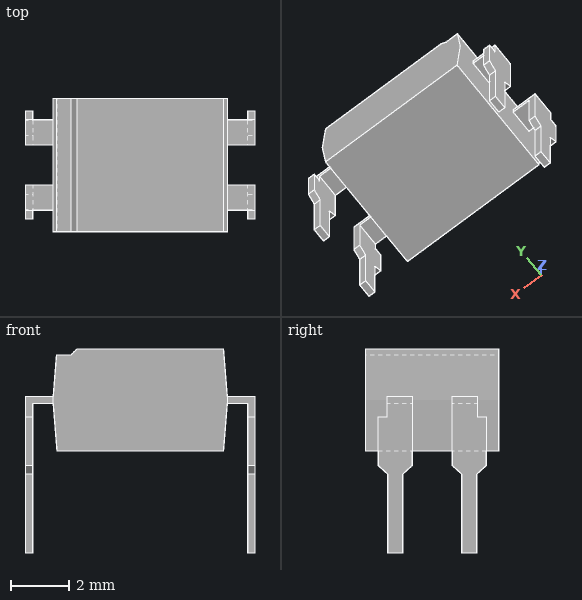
import cadquery as cq

SPAN_X = 7.88
HEIGHT = 7.01

BODY_LENGTH = 6.0
BODY_FACE_LENGTH = 5.72
BODY_WIDTH = 4.58
BODY_HEIGHT = 3.51
BODY_TOP = BODY_HEIGHT
PARTING_Z = BODY_HEIGHT / 2

STEP_DEPTH = 0.21
STEP_RISER_TOP_X = -2.17
STEP_RISER_FOOT_X = STEP_RISER_TOP_X - STEP_DEPTH

LEAD_PITCH = 2.54
ARM_THICKNESS = 0.25
LEG_THICKNESS = 0.26
SHOULDER_WIDTH = 1.18
ARM_WIDTH = 0.88
PIN_WIDTH = 0.52
ARM_TOP_Z = BODY_TOP - 1.63
SHOULDER_TOP_Z = BODY_TOP - 2.33
TAPER_TOP_Z = BODY_TOP - 4.0
TAPER_HEIGHT = 0.3
TIP_Z = BODY_TOP - HEIGHT
ARM_EMBED = 0.5


def make_body():
    """Moulded package: a side profile extruded across the width."""
    mid = BODY_LENGTH / 2
    face = BODY_FACE_LENGTH / 2
    draft_slope = (mid - face) / (BODY_TOP - PARTING_Z)
    step_z = BODY_TOP - STEP_DEPTH
    step_end_x = -face - draft_slope * STEP_DEPTH
    profile = [
        (-face, 0),
        (face, 0),
        (mid, PARTING_Z),
        (face, BODY_TOP),
        (STEP_RISER_TOP_X, BODY_TOP),
        (STEP_RISER_FOOT_X, step_z),
        (step_end_x, step_z),
        (-mid, PARTING_Z),
    ]
    return cq.Workplane("XZ").polyline(profile).close().extrude(BODY_WIDTH / 2, both=True)


def make_lead():
    """Lead at +X, +Y: a vertical leg with an arm reaching into the body."""
    center_y = LEAD_PITCH / 2
    inner_y = center_y - SHOULDER_WIDTH / 2
    outer_y = center_y + SHOULDER_WIDTH / 2
    arm_outer_y = inner_y + ARM_WIDTH
    pin_inner_y = center_y - PIN_WIDTH / 2
    pin_outer_y = center_y + PIN_WIDTH / 2
    taper_end_z = TAPER_TOP_Z - TAPER_HEIGHT
    outline = [
        (inner_y, ARM_TOP_Z),
        (arm_outer_y, ARM_TOP_Z),
        (arm_outer_y, SHOULDER_TOP_Z),
        (outer_y, SHOULDER_TOP_Z),
        (outer_y, TAPER_TOP_Z),
        (pin_outer_y, taper_end_z),
        (pin_outer_y, TIP_Z),
        (pin_inner_y, TIP_Z),
        (pin_inner_y, taper_end_z),
        (inner_y, TAPER_TOP_Z),
    ]
    leg_inner_x = SPAN_X / 2 - LEG_THICKNESS
    leg = (
        cq.Workplane("YZ", origin=(leg_inner_x, 0, 0))
        .polyline(outline)
        .close()
        .extrude(LEG_THICKNESS)
    )

    arm_start_x = BODY_LENGTH / 2 - ARM_EMBED
    arm = cq.Workplane("XY").box(
        SPAN_X / 2 - arm_start_x, ARM_WIDTH, ARM_THICKNESS, centered=False
    )
    arm = arm.translate((arm_start_x, inner_y, ARM_TOP_Z - ARM_THICKNESS))
    return leg.union(arm)


def make_leads():
    """Two leads on each end, mirrored about both vertical mid planes."""
    lead = make_lead()
    pair = lead.union(lead.mirror("XZ"))
    return pair.union(pair.mirror("YZ"))


result = make_body().union(make_leads())